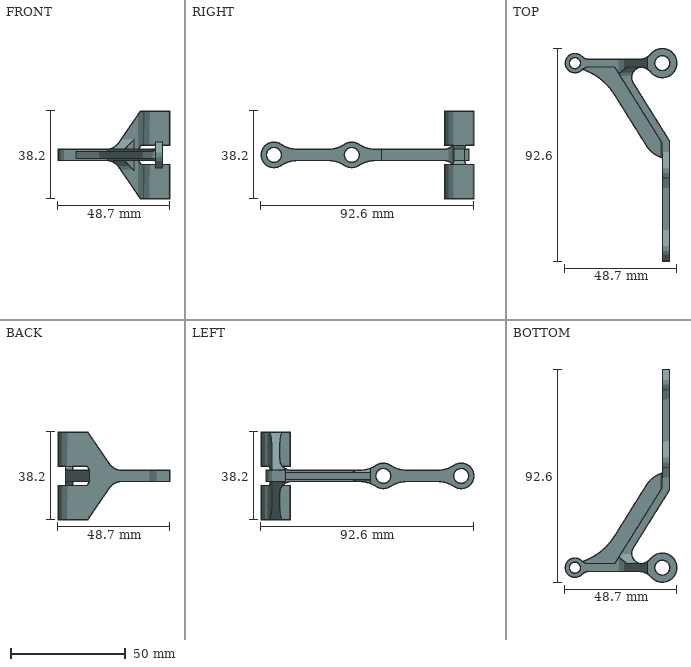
import cadquery as cq
import math

boss_radius = 6.4
boss_half_height = 19.1
boss_half_gap = 4.2
main_hole = 6.4

eye_radius = 4.3
eye_hole = 4.7
eye_x = -38.0

plate_half = 2.5
web_half = 1.6
cross_half = 1.71
eye_neck_radius = 4.1
boss_neck_radius = 6.4
flange_width = 3.2
flange_angle = math.radians(58)
bend_y = -33.9
web_width = 2 * flange_width

link_thickness = flange_width
link_radius = 5.6
link_far_y = boss_radius - 92.6 + link_radius
link_near_y = -46.75
link_blend_radius = 12.7

gusset_top_x = -6.5
gusset_angle = math.radians(55.7)
gusset_blend_radius = 6.4
gap_wall_x = -7.1
gap_edge_x = -6.2
side_blend_radius = 4.9
corner_radius = 4.5
foot_radius = 1.3

web_bend_y = -13.6
web_eye_end = (-34.5, -2.8)
web_eye_middle = (-26.8, -7.0)
web_turn_y = -35.8
web_turn_middle = (-4.0, -39.2)
web_end_y = -41.2


def prism(sketch, half_height):
    """Extrude an XY outline equally above and below its plane."""
    return sketch.extrude(half_height, both=True)


def diagonal_x(inset, y):
    """X of the line parallel to the flange's outer edge, set inward by inset."""
    return link_thickness - inset / math.sin(flange_angle) - (y - bend_y) / math.tan(flange_angle)


def diagonal_y(inset, x):
    """Y of the same line at a given X."""
    return bend_y + (link_thickness - inset / math.sin(flange_angle) - x) * math.tan(flange_angle)


def blend_reach(radius, half_width, blend_radius):
    """Distance from a round end to where its neck blend meets the straight bar."""
    return math.sqrt((radius + blend_radius) ** 2 - (half_width + blend_radius) ** 2)


def neck(plane, center, direction, radius, half_width, blend_radius):
    """Plan of the flared neck from a round end's center along the local X axis."""
    reach = blend_reach(radius, half_width, blend_radius)
    share = radius / (radius + blend_radius)
    touch = (reach * share, (half_width + blend_radius) * share)
    aim = math.atan2(-half_width - blend_radius, -reach)
    middle_angle = (aim - math.pi / 2) / 2
    middle = (
        reach + blend_radius * math.cos(middle_angle),
        half_width + blend_radius + blend_radius * math.sin(middle_angle),
    )

    def place(point, side=1):
        return (center + direction * point[0], side * point[1])

    end = (reach, half_width)
    return (
        cq.Workplane(plane)
        .moveTo(*place((0, 0)))
        .lineTo(*place(touch))
        .threePointArc(place(middle), place(end))
        .lineTo(*place(end, -1))
        .threePointArc(place(middle, -1), place(touch, -1))
        .close()
    )


def bar_arm():
    """Cross arm with the small eye, at plate height."""
    bar = cq.Workplane("XY").moveTo(eye_x / 2, 0).rect(-eye_x, 2 * cross_half)
    eye = cq.Workplane("XY").center(eye_x, 0).circle(eye_radius)
    eye_neck = neck("XY", eye_x, 1, eye_radius, cross_half, eye_neck_radius)
    return prism(bar, plate_half).union(prism(eye, plate_half)).union(prism(eye_neck, plate_half))


def flange_plan():
    """Outline of the diagonal flange including its rounded inner corner."""
    center_y = -cross_half - corner_radius
    center_x = diagonal_x(-corner_radius, center_y)
    tangent = (
        center_x - corner_radius * math.sin(flange_angle),
        center_y - corner_radius * math.cos(flange_angle),
    )
    middle_angle = (math.pi / 2 + 1.5 * math.pi - flange_angle) / 2
    middle = (
        center_x + corner_radius * math.cos(middle_angle),
        center_y + corner_radius * math.sin(middle_angle),
    )
    link_top = link_near_y + blend_reach(link_radius, plate_half, link_blend_radius)
    return (
        cq.Workplane("XY")
        .moveTo(diagonal_x(flange_width, -cross_half), -cross_half)
        .lineTo(center_x, -cross_half)
        .threePointArc(middle, tangent)
        .lineTo(link_thickness, bend_y)
        .lineTo(link_thickness, link_top)
        .lineTo(0, link_top)
        .lineTo(0, diagonal_y(flange_width, 0))
        .close()
    )


def web_plan():
    """Outline of the web between the cross arm, flange and link."""
    inset = flange_width + web_width
    return (
        cq.Workplane("XY")
        .moveTo(*web_eye_end)
        .threePointArc(web_eye_middle, (diagonal_x(inset, web_bend_y), web_bend_y))
        .lineTo(diagonal_x(inset, web_turn_y), web_turn_y)
        .threePointArc(web_turn_middle, (0, web_end_y))
        .lineTo(0, diagonal_y(flange_width, 0))
        .lineTo(diagonal_x(flange_width, 0), 0)
        .lineTo(web_eye_end[0], 0)
        .close()
    )


def gusset_profile():
    """XZ silhouette of the gusset and bosses, as a slab wide in Y."""
    root_x = gusset_top_x - (boss_half_height - plate_half) / math.tan(gusset_angle)
    run = gusset_blend_radius * math.tan(gusset_angle / 2)
    start = (root_x - run, plate_half)
    end = (
        root_x + run * math.cos(gusset_angle),
        plate_half + run * math.sin(gusset_angle),
    )
    middle = (
        start[0] + gusset_blend_radius * math.sin(gusset_angle / 2),
        start[1] + gusset_blend_radius * (1 - math.cos(gusset_angle / 2)),
    )
    upper = (
        cq.Workplane("XZ")
        .moveTo(start[0], 0)
        .lineTo(*start)
        .threePointArc(middle, end)
        .lineTo(gusset_top_x, boss_half_height)
        .lineTo(boss_radius, boss_half_height)
        .lineTo(boss_radius, 0)
        .close()
        .extrude(2 * boss_radius, both=True)
    )
    return upper.union(upper.mirror("XY"))


def boss_gap():
    """Gap between the two bosses, narrowing into the gusset."""
    return (
        cq.Workplane("XZ")
        .moveTo(gap_wall_x, -plate_half)
        .lineTo(gap_wall_x, plate_half)
        .lineTo(gap_edge_x, boss_half_gap)
        .lineTo(boss_radius, boss_half_gap)
        .lineTo(boss_radius, -boss_half_gap)
        .lineTo(gap_edge_x, -boss_half_gap)
        .close()
        .extrude(boss_radius, both=True)
    )


def boss_head(silhouette):
    """Bosses and gusset, trimmed to the sloping silhouette."""
    boss = cq.Workplane("XY").circle(boss_radius)
    bar = cq.Workplane("XY").moveTo(eye_x / 2, 0).rect(-eye_x, 2 * cross_half)
    boss_neck = neck("XY", 0, -1, boss_radius, cross_half, boss_neck_radius)
    head = prism(boss, boss_half_height)
    for plan in (bar, boss_neck):
        head = head.union(prism(plan, boss_half_height))
    return head.intersect(silhouette)


def side_blend(silhouette):
    """Concave fillets from the gusset's side down onto the flange."""
    top_z = plate_half + side_blend_radius
    end_y = -cross_half - side_blend_radius
    shift = side_blend_radius * (1 - math.sqrt(0.5))
    upper = (
        cq.Workplane("YZ")
        .moveTo(-cross_half, 0)
        .lineTo(-cross_half, top_z)
        .threePointArc((-cross_half - shift, plate_half + shift), (end_y, plate_half))
        .lineTo(end_y, 0)
        .close()
        .extrude(eye_x)
    )
    blend = upper.union(upper.mirror("XY"))
    return blend.intersect(prism(flange_plan(), boss_half_height)).intersect(silhouette)


def link():
    """Flat two-eyed link; local X of its plane is Y."""
    bar = (
        cq.Workplane("YZ")
        .moveTo((link_near_y + link_far_y) / 2, 0)
        .rect(link_near_y - link_far_y, 2 * plate_half)
    )
    body = bar.extrude(link_thickness)
    for center, direction in ((link_near_y, 1), (link_near_y, -1), (link_far_y, 1)):
        flare = neck("YZ", center, direction, link_radius, plate_half, link_blend_radius)
        body = body.union(flare.extrude(link_thickness))
    for center in (link_near_y, link_far_y):
        eye = cq.Workplane("YZ").center(center, 0).circle(link_radius)
        body = body.union(eye.extrude(link_thickness))
    return body


def web_foot():
    """Concave fillets between the web faces and the link, trimmed to the link's side outline."""
    shift = foot_radius * (1 - math.sqrt(0.5))
    upper = (
        cq.Workplane("XZ")
        .moveTo(-foot_radius, 0)
        .lineTo(-foot_radius, web_half)
        .threePointArc((-shift, web_half + shift), (0, web_half + foot_radius))
        .lineTo(0, 0)
        .close()
        .extrude(-web_end_y)
    )
    foot = upper.union(upper.mirror("XY"))
    link_end = neck("YZ", link_near_y, 1, link_radius, plate_half, link_blend_radius).extrude(-foot_radius)
    link_bar = (
        cq.Workplane("YZ")
        .moveTo(link_near_y / 2, 0)
        .rect(link_near_y, 2 * plate_half)
        .extrude(-foot_radius)
    )
    foot = foot.intersect(link_end.union(link_bar))
    return foot.intersect(prism(web_plan(), plate_half + foot_radius))


silhouette = gusset_profile()
result = boss_head(silhouette).union(side_blend(silhouette))
result = result.union(bar_arm()).union(prism(flange_plan(), plate_half))
result = result.cut(boss_gap())
result = result.union(prism(web_plan(), web_half)).union(link()).union(web_foot())

for x, diameter in ((0, main_hole), (eye_x, eye_hole)):
    hole = cq.Workplane("XY").center(x, 0).circle(diameter / 2)
    result = result.cut(prism(hole, boss_half_height))

for y in (link_near_y, link_far_y):
    hole = cq.Workplane("YZ").center(y, 0).circle(main_hole / 2)
    result = result.cut(hole.extrude(link_thickness))